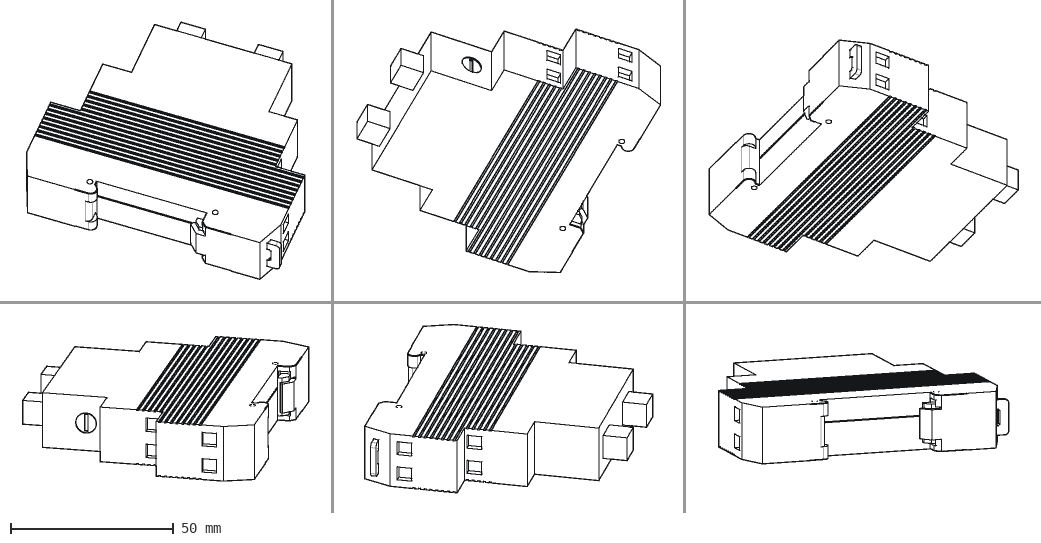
import cadquery as cq
import math


WIDTH = 83.3
THICKNESS = 17.8
LOWER_TIER_TOP = 30.1
MIDDLE_TIER_INSET = 9.7
MIDDLE_TIER_TOP = 49.9
UPPER_TIER_INSET = 19.1
UPPER_TIER_TOP = 70.2
BEVEL_WIDTH = 3.6
BEVEL_HEIGHT = 8.9

PLUG_WIDTH = 8.1
PLUG_THICKNESS = 7.7
PLUG_TOP = 77.8
PLUG_CENTRES_X = (29.0, 54.4)

CHANNEL_DEPTH = 5.4
FOOT_OUTER_X = (19.0, 70.2)
FOOT_EDGE_CHAMFER = 0.21
JOINT_TOLERANCE = 0.1
FIXED_WALL_X = 24.3
LIP_RADIUS = 2.0
LIP_CENTRE_X = 23.55
LIP_GAP = 9.5
MIDDLE_ROUND = 1.7
CLIP_WALL_X = 60.2
CLIP_FOOT_BEVEL = 1.7
SEAM_Z = 1.7
SEAM_WIDTH = 0.25
SEAM_DEPTH = 0.25

GROOVE_COUNT = 13
GROOVE_WIDTH = 0.6
GROOVE_DEPTH = 0.25
FIRST_GROOVE_Y = 16.3
LAST_GROOVE_Y = 38.2
GROOVE_PITCH = (LAST_GROOVE_Y - FIRST_GROOVE_Y) / (GROOVE_COUNT - 1)

OPENING_WIDTH = 4.6
OPENING_HEIGHT = 4.3
OPENING_DEPTH = 2.0
OPENING_OFFSET_Z = 4.25
LOWER_OPENING_Y = 13.4
MIDDLE_OPENING_Y = 33.15

ADJUSTER_Y = 56.5
ADJUSTER_DIAMETER = 6.5
ADJUSTER_RECESS = 0.4
ADJUSTER_SLOT_LENGTH = 5.4
ADJUSTER_SLOT_WIDTH = 1.0
ADJUSTER_SLOT_DEPTH = 0.5

PIN_HOLE_DIAMETER = 1.8
PIN_HOLE_SKIN = 0.25
PIN_HOLE_CENTRES = ((22.3, 4.8), (62.65, 6.7))

HOOK_THICKNESS = 9.4
HOOK_CENTRE_Z = -0.25
HOOK_TIP_X = 56.0
HOOK_TIP_Y = (2.9, 3.4)
HOOK_TOP_Y = 4.0
HOOK_TOP_FLAT = 0.4
HOOK_FRONT_X = 58.8

SHOULDER_THICKNESS = 12.3
SHOULDER_X = 57.5
SHOULDER_FRONT_Y = 1.7
SHOULDER_NOSE_Y = 3.5
SHOULDER_HEEL_X = SHOULDER_X + SHOULDER_NOSE_Y - SHOULDER_FRONT_Y
SLIDE_BACK_Y = 4.85
PLATE_FRONT_Y = 3.15
TAB_THICKNESS = 11.1
TAB_END_X = 85.0
TAB_CORNER_RADIUS = 1.2
WINDOW_START_X = 76.5
WINDOW_END_X = 82.2
WINDOW_THICKNESS = 5.3
WINDOW_CHAMFER = 0.6

HOOK_POCKET_THICKNESS = 10.0
SHOULDER_POCKET_THICKNESS = 14.3
SHOULDER_POCKET_Y = (1.45, 5.1)
POCKET_END_X = CLIP_WALL_X + CLIP_FOOT_BEVEL


def centred_box(x_range, y_range, thickness, centre_z=0):
    """Block between limits in X and Y, centred on a given height."""
    size_x = x_range[1] - x_range[0]
    size_y = y_range[1] - y_range[0]
    block = cq.Workplane("XY").box(size_x, size_y, thickness, centered=(False, False, True))
    return block.translate((x_range[0], y_range[0], centre_z))


def slab(points, thickness, centre_z=0):
    """Polygon in XY extruded about a given height."""
    base = cq.Workplane("XY").workplane(offset=centre_z - thickness / 2)
    return base.polyline(points).close().extrude(thickness)


def is_exposed(edge):
    """True for a foot edge that does not lie on a joint with the rest of the housing."""
    centre = edge.Center()
    on_end = any(abs(centre.x - x) < JOINT_TOLERANCE for x in FOOT_OUTER_X)
    on_top = abs(centre.y - CHANNEL_DEPTH) < JOINT_TOLERANCE
    return not (on_end or on_top)


def chamfer_rim(foot):
    """Break the exposed rims of a foot on both large faces."""
    return foot.faces("|Z").edges().filter(is_exposed).chamfer(FOOT_EDGE_CHAMFER)


def make_tiers():
    right_half = [
        (WIDTH - BEVEL_WIDTH, 0),
        (WIDTH, BEVEL_HEIGHT),
        (WIDTH, LOWER_TIER_TOP),
        (WIDTH - MIDDLE_TIER_INSET, LOWER_TIER_TOP),
        (WIDTH - MIDDLE_TIER_INSET, MIDDLE_TIER_TOP),
        (WIDTH - UPPER_TIER_INSET, MIDDLE_TIER_TOP),
        (WIDTH - UPPER_TIER_INSET, UPPER_TIER_TOP),
    ]
    left_half = [(WIDTH - x, y) for x, y in reversed(right_half)]
    channel = centred_box(FOOT_OUTER_X, (0, CHANNEL_DEPTH), THICKNESS)
    return slab(right_half + left_half, THICKNESS).cut(channel)


def make_fixed_foot():
    """Foot with a rounded lip that hooks over the rail; the lip is missing in the middle."""
    diagonal = LIP_RADIUS * math.sqrt(0.5)
    lip_end = (LIP_CENTRE_X + diagonal, LIP_RADIUS + diagonal)
    foot = (
        cq.Workplane("XY")
        .workplane(offset=-THICKNESS / 2)
        .moveTo(FOOT_OUTER_X[0], 0)
        .lineTo(LIP_CENTRE_X, 0)
        .threePointArc((LIP_CENTRE_X + LIP_RADIUS, LIP_RADIUS), lip_end)
        .lineTo(FIXED_WALL_X, lip_end[1] + lip_end[0] - FIXED_WALL_X)
        .lineTo(FIXED_WALL_X, CHANNEL_DEPTH)
        .lineTo(FOOT_OUTER_X[0], CHANNEL_DEPTH)
        .close()
        .extrude(THICKNESS)
    )
    foot = chamfer_rim(foot)
    height = (0, CHANNEL_DEPTH)
    gap = centred_box((FOOT_OUTER_X[0], CLIP_WALL_X), height, LIP_GAP)
    middle = centred_box((FOOT_OUTER_X[0], FIXED_WALL_X), height, LIP_GAP)
    middle = middle.edges("|Z and >X and <Y").fillet(MIDDLE_ROUND)
    return foot.cut(gap).union(middle)


def make_clip_foot():
    outline = [
        (FOOT_OUTER_X[1], 0),
        (POCKET_END_X, 0),
        (CLIP_WALL_X, CLIP_FOOT_BEVEL),
        (CLIP_WALL_X, CHANNEL_DEPTH),
        (FOOT_OUTER_X[1], CHANNEL_DEPTH),
    ]
    foot = chamfer_rim(slab(outline, THICKNESS))
    pocket_x = (CLIP_WALL_X, POCKET_END_X)
    hook_pocket = centred_box(pocket_x, (0, SHOULDER_POCKET_Y[1]), HOOK_POCKET_THICKNESS)
    shoulder_pocket = centred_box(pocket_x, SHOULDER_POCKET_Y, SHOULDER_POCKET_THICKNESS)
    return foot.cut(hook_pocket).cut(shoulder_pocket)


def make_plug(centre_x):
    x_range = (centre_x - PLUG_WIDTH / 2, centre_x + PLUG_WIDTH / 2)
    return centred_box(x_range, (UPPER_TIER_TOP, PLUG_TOP), PLUG_THICKNESS)


def make_groove_pair(centre_y):
    """One groove in each large face, at the same distance from the rail."""
    y_range = (centre_y - GROOVE_WIDTH / 2, centre_y + GROOVE_WIDTH / 2)
    full = centred_box((0, WIDTH), y_range, THICKNESS)
    core = centred_box((0, WIDTH), y_range, THICKNESS - 2 * GROOVE_DEPTH)
    return full.cut(core)


def make_opening(end_x, centre_y, centre_z):
    """Wire opening centred on an end face, reaching its depth into the housing."""
    x_range = (end_x - OPENING_DEPTH, end_x + OPENING_DEPTH)
    y_range = (centre_y - OPENING_WIDTH / 2, centre_y + OPENING_WIDTH / 2)
    return centred_box(x_range, y_range, OPENING_HEIGHT, centre_z)


def make_adjuster_recess():
    recess = (
        cq.Workplane("YZ", origin=(UPPER_TIER_INSET, ADJUSTER_Y, 0))
        .circle(ADJUSTER_DIAMETER / 2)
        .extrude(ADJUSTER_RECESS)
    )
    slot_x = (UPPER_TIER_INSET, UPPER_TIER_INSET + ADJUSTER_RECESS + ADJUSTER_SLOT_DEPTH)
    slot_y = (ADJUSTER_Y - ADJUSTER_SLOT_WIDTH / 2, ADJUSTER_Y + ADJUSTER_SLOT_WIDTH / 2)
    return recess.union(centred_box(slot_x, slot_y, ADJUSTER_SLOT_LENGTH))


def make_pin_holes():
    base = cq.Workplane("XY").workplane(offset=-THICKNESS / 2)
    holes = base.pushPoints(PIN_HOLE_CENTRES).circle(PIN_HOLE_DIAMETER / 2)
    return holes.extrude(THICKNESS - PIN_HOLE_SKIN)


def make_seam():
    """Narrow groove along the floor of the rail channel."""
    y_range = (CHANNEL_DEPTH, CHANNEL_DEPTH + SEAM_DEPTH)
    return centred_box((FIXED_WALL_X, CLIP_WALL_X), y_range, SEAM_WIDTH, SEAM_Z)


def make_hook():
    """Slanted hook whose back is stepped to carry the shoulder of the slide."""
    outline = [
        (HOOK_FRONT_X, 0),
        (POCKET_END_X, 0),
        (POCKET_END_X, SHOULDER_FRONT_Y),
        (SHOULDER_HEEL_X, SHOULDER_FRONT_Y),
        (SHOULDER_X, SHOULDER_NOSE_Y),
        (SHOULDER_X, HOOK_TOP_Y),
        (SHOULDER_X - HOOK_TOP_FLAT, HOOK_TOP_Y),
        (HOOK_TIP_X, HOOK_TIP_Y[1]),
        (HOOK_TIP_X, HOOK_TIP_Y[0]),
    ]
    return slab(outline, HOOK_THICKNESS, HOOK_CENTRE_Z)


def make_slide():
    outline = [
        (SHOULDER_X, SLIDE_BACK_Y),
        (SHOULDER_X, SHOULDER_NOSE_Y),
        (SHOULDER_HEEL_X, SHOULDER_FRONT_Y),
        (POCKET_END_X, SHOULDER_FRONT_Y),
        (POCKET_END_X, SLIDE_BACK_Y),
    ]
    shoulder = slab(outline, SHOULDER_THICKNESS, HOOK_CENTRE_Z)
    plate_y = (PLATE_FRONT_Y, SLIDE_BACK_Y)
    plate = centred_box((SHOULDER_HEEL_X, TAB_END_X), plate_y, TAB_THICKNESS)
    plate = plate.edges("|Y and >X").fillet(TAB_CORNER_RADIUS)
    window = centred_box((WINDOW_START_X, WINDOW_END_X), plate_y, WINDOW_THICKNESS)
    window = window.edges("|Y and >X").chamfer(WINDOW_CHAMFER)
    return shoulder.union(plate.cut(window))


def make_housing():
    housing = make_tiers().union(make_fixed_foot()).union(make_clip_foot()).union(make_hook())
    for centre_x in PLUG_CENTRES_X:
        housing = housing.union(make_plug(centre_x))
    for index in range(GROOVE_COUNT):
        housing = housing.cut(make_groove_pair(FIRST_GROOVE_Y + index * GROOVE_PITCH))
    for inset, centre_y in ((0, LOWER_OPENING_Y), (MIDDLE_TIER_INSET, MIDDLE_OPENING_Y)):
        for end_x in (inset, WIDTH - inset):
            for centre_z in (-OPENING_OFFSET_Z, OPENING_OFFSET_Z):
                housing = housing.cut(make_opening(end_x, centre_y, centre_z))
    return housing.cut(make_adjuster_recess()).cut(make_pin_holes()).cut(make_seam())


slide = make_slide().solids()
housing = make_housing().cut(slide).solids()

result = cq.Compound.makeCompound([housing.val(), slide.val()])